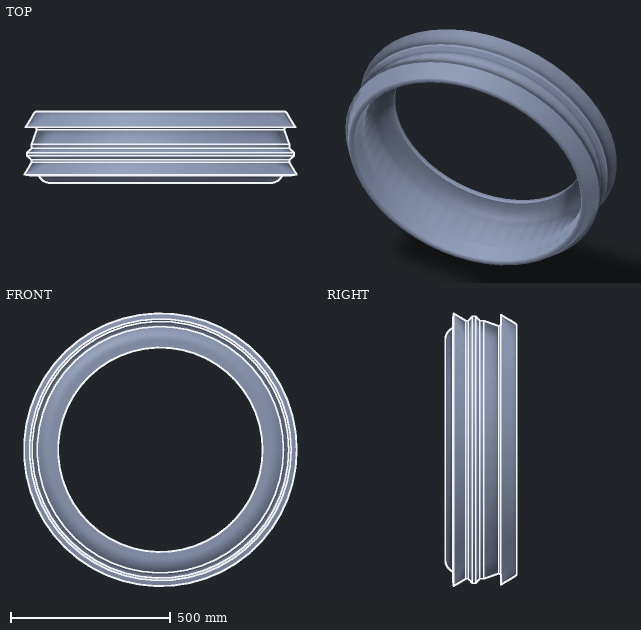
import cadquery as cq
import math


outer_radius = 428.0
ring_width = 225.0
front_y = -ring_width

lip_radius = 320.0
bore_radius = 370.0
back_flare_depth = 57.0
flare_end_radius = 378.0
inner_bead_radius = 46.0

back_rim_radius = 397.0
back_rim_depth = 6.0
rim_crest_radius = (flare_end_radius + back_rim_radius) / 2
rear_flange_radius = 424.0
rear_flange_depth = 50.5

neck_top_radius = 391.0
neck_radius = 389.0
neck_depth = 57.0
body_radius = 405.0
body_start_depth = 104.0
ridge_diameter = 838.0
ridge_radius = ridge_diameter / 2
ridge_center_depth = 134.0
ridge_half_land = 5.0
ridge_half_base = 18.0

front_flange_start_depth = 160.0
front_flange_depth = 199.0
flange_face_depth = 201.0
flange_face_radius = 410.0
groove_outer_radius = 402.0
groove_outer_depth = 188.0
groove_bottom_depth = 181.0

bead_radius = 41.0
bead_center_radius = 345.0
bead_center_y = front_y + bead_radius
bead_outer_radius = bead_center_radius + bead_radius
groove_middle_radius = (groove_outer_radius + bead_outer_radius) / 2
bead_diagonal = bead_radius * math.sqrt(0.5)

shell_thickness = bead_outer_radius - bore_radius
inner_bead_center_radius = bore_radius - inner_bead_radius
inner_bead_center_y = front_y + shell_thickness + inner_bead_radius
inner_bead_diagonal = inner_bead_radius * math.sqrt(0.5)


def outer_profile():
    """Start the profile at the back rim and follow the outside to the front flange."""
    return (
        cq.Workplane("XY")
        .moveTo(flare_end_radius, -back_rim_depth)
        .threePointArc((rim_crest_radius, 0), (back_rim_radius, -back_rim_depth))
        .lineTo(rear_flange_radius, -rear_flange_depth)
        .lineTo(neck_top_radius, -rear_flange_depth)
        .lineTo(neck_radius, -neck_depth)
        .lineTo(body_radius, -body_start_depth)
        .lineTo(body_radius, -(ridge_center_depth - ridge_half_base))
        .lineTo(ridge_radius, -(ridge_center_depth - ridge_half_land))
        .lineTo(ridge_radius, -(ridge_center_depth + ridge_half_land))
        .lineTo(body_radius, -(ridge_center_depth + ridge_half_base))
        .lineTo(body_radius, -front_flange_start_depth)
        .lineTo(outer_radius, -front_flange_depth)
    )


def add_front_groove_and_bead(profile):
    """Run from the front flange through the groove and over the bead to the lip."""
    return (
        profile.lineTo(flange_face_radius, -flange_face_depth)
        .lineTo(groove_outer_radius, -groove_outer_depth)
        .threePointArc((groove_middle_radius, -groove_bottom_depth), (bead_outer_radius, bead_center_y))
        .threePointArc(
            (bead_center_radius + bead_diagonal, bead_center_y - bead_diagonal),
            (bead_center_radius, front_y),
        )
        .lineTo(lip_radius, front_y)
    )


def add_bore(profile):
    """Close the profile behind the lip, round the inside of the bead and along the flared bore."""
    return (
        profile.lineTo(lip_radius, front_y + shell_thickness)
        .lineTo(inner_bead_center_radius, front_y + shell_thickness)
        .threePointArc(
            (inner_bead_center_radius + inner_bead_diagonal, inner_bead_center_y - inner_bead_diagonal),
            (bore_radius, inner_bead_center_y),
        )
        .lineTo(bore_radius, -back_flare_depth)
        .close()
    )


profile = add_bore(add_front_groove_and_bead(outer_profile()))
result = profile.revolve(360, (0, 0, 0), (0, 1, 0))